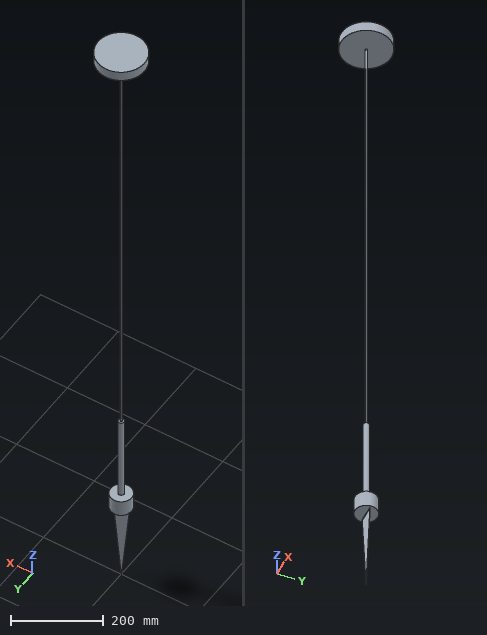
import cadquery as cq

total_height = 1635.0

canopy_diameter = 120.0
canopy_height = 26.0
canopy_base_z = total_height - canopy_height

blade_length = 212.0
blade_top_width = 42.0
blade_thickness = 1.0
blade_tip_width = 1.0

collar_diameter = 54.0
collar_height = 42.0
stem_diameter = 15.0
stem_height = 225.0

cable_diameter = 5.0

collar_top_z = blade_length + collar_height
stem_top_z = collar_top_z + stem_height


def cylinder(diameter, base_z, height):
    """Upright cylinder centred on the Z axis."""
    return cq.Workplane("XY", origin=(0, 0, base_z)).circle(diameter / 2).extrude(height)


def make_canopy():
    return cylinder(canopy_diameter, canopy_base_z, canopy_height)


def make_cable():
    """Cable from the top of the stem up to the underside of the canopy."""
    return cylinder(cable_diameter, stem_top_z, canopy_base_z - stem_top_z)


def make_holder():
    """Collar and stem as one turned piece."""
    collar = cylinder(collar_diameter, blade_length, collar_height)
    stem = cylinder(stem_diameter, collar_top_z, stem_height)
    return collar.union(stem)


def make_blade():
    """Thin flat taper on the -Y side of the XZ plane, widest under the collar, with a narrow flat tip."""
    half_top = blade_top_width / 2
    half_tip = blade_tip_width / 2
    outline = [
        (-half_tip, 0),
        (half_tip, 0),
        (half_top, blade_length),
        (-half_top, blade_length),
    ]
    return cq.Workplane("XZ").polyline(outline).close().extrude(blade_thickness)


canopy = make_canopy()
cable = make_cable()
holder = make_holder()
blade = make_blade()

result = cq.Compound.makeCompound([canopy.val(), cable.val(), holder.val(), blade.val()])